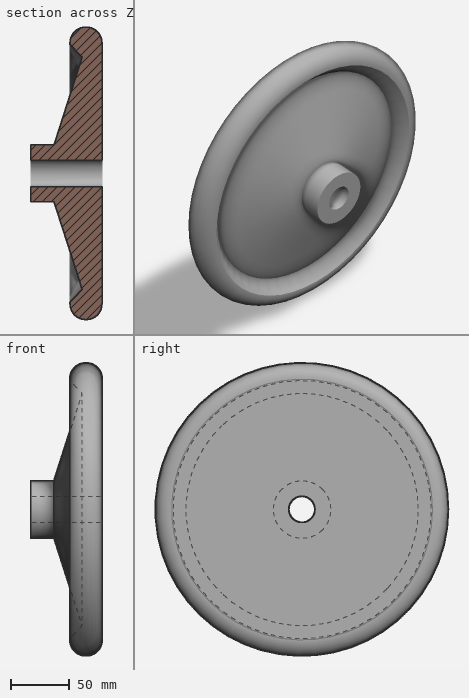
import cadquery as cq

wheel_radius = 125.0
total_width = 61.0
rim_width = 27.7

hub_radius = 49.0 / 2
bore_radius = 22.0 / 2
hub_length = 19.7

web_slope = 0.32
web_outer_radius = 99.0
rim_inner_radius = 110.0

rim_front = total_width - rim_width
rim_middle = total_width - rim_width / 2
rim_crown_radius = wheel_radius - rim_width / 2
web_edge = hub_length + web_slope * (web_outer_radius - hub_radius)

half_section = (
    cq.Workplane("XY")
    .moveTo(0, bore_radius)
    .lineTo(0, hub_radius)
    .lineTo(hub_length, hub_radius)
    .lineTo(web_edge, web_outer_radius)
    .lineTo(rim_front, rim_inner_radius)
    .lineTo(rim_front, rim_crown_radius)
    .threePointArc((rim_middle, wheel_radius), (total_width, rim_crown_radius))
    .lineTo(total_width, bore_radius)
    .close()
)

result = half_section.revolve(360, (0, 0, 0), (1, 0, 0))